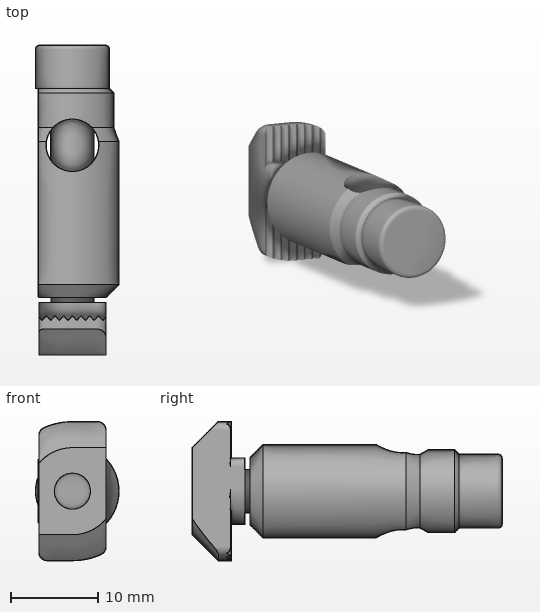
import cadquery as cq

total_length = 35.6
cap_radius = 8.5 / 2
cap_edge_radius = 0.5
collar_radius = 4.77
sleeve_radius = 10.7 / 2
cap_start_y = 30.6
collar_chamfer = 0.5
collar_start_y = 26.13
cone_start_y = 24.53
sleeve_start_y = 6.62
sleeve_chamfer = 1.5
flat_distance = 3.95

cross_hole_diameter = 6.0
cross_hole_y = 24.1
bolt_diameter = 5.0
bolt_recess_diameter = 4.13
bolt_recess_depth = 0.5

head_half_width = 7.73 / 2
head_radius = 16.0 / 2
head_chamfer = 3.0
head_back_y = 4.5
spigot_back_y = 6.05
spigot_half_height = 3.8
spigot_swept_radius = 4.0
corner_radius = 1.0

tooth_pitch = 1.0
tooth_depth = 0.5
tooth_crest_width = 0.07
grooves_per_side = 4


def y_cylinder(radius, start_y, end_y):
    """Cylinder on the Y axis between two stations."""
    return cq.Workplane("XZ", origin=(0, start_y, 0)).circle(radius).extrude(start_y - end_y)


def make_sleeve():
    """Turned sleeve with its cross hole, flat and rounded cap edge."""
    body = (
        cq.Workplane("XY")
        .moveTo(0, sleeve_start_y)
        .lineTo(sleeve_radius - sleeve_chamfer, sleeve_start_y)
        .lineTo(sleeve_radius, sleeve_start_y + sleeve_chamfer)
        .lineTo(sleeve_radius, cone_start_y)
        .lineTo(collar_radius, collar_start_y)
        .lineTo(collar_radius, cap_start_y - collar_chamfer)
        .lineTo(collar_radius - collar_chamfer, cap_start_y)
        .lineTo(0, cap_start_y)
        .close()
        .revolve(360, (0, 0, 0), (0, 1, 0))
    )
    flat_cutter = cq.Workplane("XY", origin=(-flat_distance - sleeve_radius, 0, 0)).box(
        sleeve_radius, total_length, 2 * sleeve_radius, centered=(False, False, True)
    )
    cross_hole = (
        cq.Workplane("XY")
        .center(0, cross_hole_y)
        .circle(cross_hole_diameter / 2)
        .extrude(sleeve_radius, both=True)
    )
    cap = y_cylinder(cap_radius, cap_start_y, total_length)
    cap = cap.faces(">Y").edges().fillet(cap_edge_radius)
    return body.cut(flat_cutter).union(cap).cut(cross_hole)


def make_head_blank():
    """Chamfered plate, unchanged by half a turn about the Y axis.

    In the upper half the (r, y) profile is extruded to give the square +X corner
    and revolved a quarter turn to give the swept -X corner.
    """
    profile = [
        (0, 0),
        (head_radius - head_chamfer, 0),
        (head_radius, head_chamfer),
        (head_radius, head_back_y),
        (0, head_back_y),
    ]
    square_corner = cq.Workplane("ZY").polyline(profile).close().extrude(-head_half_width)
    swept_corner = cq.Workplane("ZY").polyline(profile).close().revolve(90, (0, 0, 0), (0, -1, 0))
    upper = square_corner.union(swept_corner)
    lower = upper.rotate((0, 0, 0), (0, 1, 0), 180)
    sides = cq.Workplane("XY").box(2 * head_half_width, 2 * total_length, 2 * head_radius)
    return upper.union(lower).intersect(sides)


def make_head():
    """Plate with rounded corner edges and serrations on its back."""
    head = make_head_blank()
    for side in (">X", "<X"):
        head = head.edges("|Y").edges(side).fillet(corner_radius)
    for index in range(-grooves_per_side, grooves_per_side):
        head = head.cut(make_groove((index + 0.5) * tooth_pitch))
    return head


def make_groove(center_x):
    """V groove along Z between two neighbouring tooth crests."""
    half_width = (tooth_pitch - tooth_crest_width) / 2
    return (
        cq.Workplane("XY", origin=(center_x, 0, -head_radius))
        .moveTo(-half_width, head_back_y)
        .lineTo(0, head_back_y - tooth_depth)
        .lineTo(half_width, head_back_y)
        .close()
        .extrude(2 * head_radius)
    )


def make_spigot():
    """Short block behind the head, with the same pattern of square and swept corners."""
    block = cq.Workplane("XY", origin=(0, head_chamfer, 0)).box(
        2 * head_half_width,
        spigot_back_y - head_chamfer,
        2 * spigot_half_height,
        centered=(True, False, True),
    )
    for side, square_end, swept_end in ((">X", ">Z", "<Z"), ("<X", "<Z", ">Z")):
        block = block.edges("|Y").edges(side).edges(square_end).fillet(corner_radius)
        block = block.edges("|Y").edges(side).edges(swept_end).fillet(spigot_swept_radius)
    return block


bolt = y_cylinder(bolt_diameter / 2, bolt_recess_depth, cap_start_y)
bolt_recess = y_cylinder(bolt_recess_diameter / 2, 0, bolt_recess_depth)

result = make_sleeve().union(make_head()).union(make_spigot()).union(bolt).cut(bolt_recess)